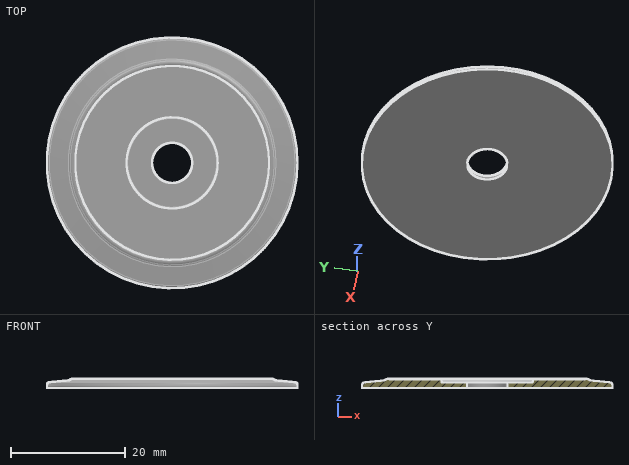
import cadquery as cq
import math

disc_radius = 44 / 2
total_height = 1.66
bore_radius = 7 / 2
recess_radius = 16 / 2
recess_floor_height = 1.0
recess_corner_radius = 0.2
plateau_height = 1.51
lip_inner_radius = 17.0
lip_outer_radius = 17.88
lip_foot_radius = 0.65
border_angle = math.radians(5.5)
rim_corner_radius = 0.5


def arc_point(center, radius, angle):
    """Point on an arc of the (r, z) section whose outward normal leans `angle` from +Z."""
    return (center[0] + radius * math.sin(angle), center[1] + radius * math.cos(angle))


def disc_profile():
    """Half section of the disc: flat plateau, rounded lip, sloping border, rounded rim."""
    lip_half_width = (lip_outer_radius - lip_inner_radius) / 2
    lip_rise = total_height - plateau_height
    lip_radius = (lip_half_width**2 + lip_rise**2) / (2 * lip_rise)
    lip_angle = math.asin(lip_half_width / lip_radius)
    lip_center = (lip_inner_radius + lip_half_width, total_height - lip_radius)
    lip_crest = arc_point(lip_center, lip_radius, 0)

    foot_center = arc_point(lip_center, lip_radius + lip_foot_radius, lip_angle)
    foot_middle = arc_point(foot_center, -lip_foot_radius, (lip_angle + border_angle) / 2)
    foot_end = arc_point(foot_center, -lip_foot_radius, border_angle)

    rim_center_r = disc_radius - rim_corner_radius
    border_end_r = rim_center_r + rim_corner_radius * math.sin(border_angle)
    border_end_z = foot_end[1] - (border_end_r - foot_end[0]) * math.tan(border_angle)
    rim_center = (rim_center_r, border_end_z - rim_corner_radius * math.cos(border_angle))
    rim_middle = arc_point(rim_center, rim_corner_radius, (border_angle + math.pi / 2) / 2)

    return (
        cq.Workplane("XZ")
        .lineTo(0, plateau_height)
        .lineTo(lip_inner_radius, plateau_height)
        .threePointArc(lip_crest, (lip_outer_radius, plateau_height))
        .threePointArc(foot_middle, foot_end)
        .lineTo(border_end_r, border_end_z)
        .threePointArc(rim_middle, (disc_radius, rim_center[1]))
        .lineTo(disc_radius, 0)
        .close()
    )


def make_disc():
    return disc_profile().revolve(360, (0, 0, 0), (0, 1, 0))


def make_recess():
    """Shallow round recess in the top, rounded where its wall meets its floor."""
    return (
        cq.Workplane("XY")
        .workplane(offset=recess_floor_height)
        .circle(recess_radius)
        .extrude(plateau_height - recess_floor_height)
        .faces("<Z")
        .edges()
        .fillet(recess_corner_radius)
    )


def make_bore():
    return cq.Workplane("XY").circle(bore_radius).extrude(plateau_height)


result = make_disc().cut(make_recess()).cut(make_bore())